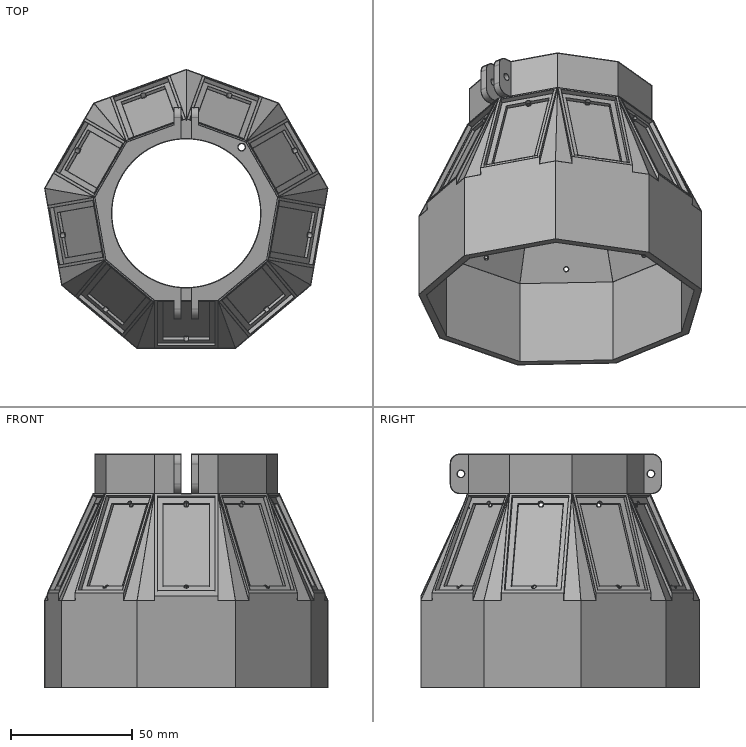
import cadquery as cq
import math

SIDES = 9
SECTOR = 360 / SIDES
OVERALL_WIDTH = 116.83
OVERALL_HEIGHT = 96.4
SKIRT_HEIGHT = 36.0
COLLAR_BASE = 80.1
COLLAR_RADIUS = 38.3
BORE_DIAMETER = 61.46

WALL = 3.0
CEILING_HEIGHT = 76.2

PANEL_TILT = math.radians(25)
PANEL_RISE = 0.6
LEDGE_DEPTH = 1.3
POCKET_DEPTH = 1.3
RIM = 1.2
RECESS_LENGTH = 42.9
LEDGE_SIDE = 2.4
LEDGE_END = 2.65
PANEL_HOLE_DIAMETER = 2.0
PANEL_HOLE_DEPTH = 10.0
PANEL_BACKING = 2.0

SLOT_WIDTH = 4.2
EAR_THICKNESS = 3.0
EAR_REACH = 43.6
EAR_CORNER_RADIUS = 4.0
EAR_HOLE_DIAMETER = 3.0
EAR_HOLE_REACH = 39.2

CORNER_HOLE_DIAMETER = 3.0
CORNER_HOLE_REACH = 35.6
CORNER_HOLE_ANGLE = 90 - SECTOR

HALF_SECTOR = math.radians(SECTOR / 2)
FLAT_RATIO = math.cos(HALF_SECTOR)
SKIRT_RADIUS = OVERALL_WIDTH / 2 / math.cos(HALF_SECTOR / 2)
SKIRT_FLAT = SKIRT_RADIUS * FLAT_RATIO
COLLAR_FLAT = COLLAR_RADIUS * FLAT_RATIO
SHOULDER_RUN = SKIRT_FLAT - COLLAR_FLAT
SHOULDER_HEIGHT = COLLAR_BASE - SKIRT_HEIGHT
SHOULDER_LENGTH = math.hypot(SHOULDER_RUN, SHOULDER_HEIGHT)
PANEL_WIDTH = 2 * COLLAR_RADIUS * math.sin(HALF_SECTOR)


def nonagon(radius, height):
    """Wire of a nonagon with one corner on +Y."""
    points = []
    for i in range(SIDES):
        angle = math.radians(90 + i * SECTOR)
        points.append(cq.Vector(radius * math.cos(angle), radius * math.sin(angle), height))
    return cq.Wire.makePolygon(points, close=True)


def prism(radius, bottom, top):
    face = cq.Face.makeFromWires(nonagon(radius, bottom))
    return cq.Workplane(obj=cq.Solid.extrudeLinear(face, cq.Vector(0, 0, top - bottom)))


def frustum(bottom_radius, bottom, top_radius, top):
    wires = [nonagon(bottom_radius, bottom), nonagon(top_radius, top)]
    return cq.Workplane(obj=cq.Solid.makeLoft(wires, ruled=True))


def panel_plane(rise):
    """Outer plane of a -Y panel: hinge plane moved out by the rise, local y up the slope."""
    hinge = cq.Plane(
        origin=(0, -COLLAR_FLAT, COLLAR_BASE),
        xDir=(1, 0, 0),
        normal=(0, -math.cos(PANEL_TILT), math.sin(PANEL_TILT)),
    )
    return cq.Plane(hinge.toWorldCoords((0, 0, rise)), hinge.xDir, hinge.zDir)


def around(front_tool, other_tool):
    """The front tool on the -Y side and a copy of the other tool on every other side."""
    tools = cq.Workplane(obj=front_tool.val())
    for i in range(1, SIDES):
        tools = tools.add(other_tool.rotate((0, 0, 0), (0, 0, 1), i * SECTOR).val())
    return tools.combine()


def panel(rise):
    """Raised plate, trimmed flush with the skirt side and the collar base."""
    plate = (
        cq.Workplane(panel_plane(rise))
        .rect(PANEL_WIDTH, 2 * SHOULDER_LENGTH)
        .extrude(-PANEL_BACKING)
    )
    return plate.intersect(prism(SKIRT_RADIUS, SKIRT_HEIGHT, COLLAR_BASE))


def panel_recess(rise):
    """Stepped window with a small hole at each end, sunk into a panel."""
    ledge = rise + LEDGE_DEPTH
    recess_width = PANEL_WIDTH - 2 * RIM
    pocket_length = RECESS_LENGTH - 2 * LEDGE_END
    centre = -RIM - RECESS_LENGTH / 2
    face = cq.Workplane(panel_plane(rise)).center(0, centre)
    recess = face.rect(recess_width, RECESS_LENGTH).extrude(-ledge)
    pocket = face.rect(recess_width - 2 * LEDGE_SIDE, pocket_length).extrude(-ledge - POCKET_DEPTH)
    holes = (
        face.pushPoints([(0, -pocket_length / 2), (0, pocket_length / 2)])
        .circle(PANEL_HOLE_DIAMETER / 2)
        .extrude(-PANEL_HOLE_DEPTH)
    )
    return recess.union(pocket).union(holes)


def hollow():
    """Inside of the skirt and shoulder, following the outer sides, up to a flat ceiling."""
    skirt_inside = (SKIRT_FLAT - WALL) / FLAT_RATIO
    ceiling_fraction = (CEILING_HEIGHT - SKIRT_HEIGHT) / SHOULDER_HEIGHT
    ceiling_flat = SKIRT_FLAT - WALL - ceiling_fraction * SHOULDER_RUN
    lower = prism(skirt_inside, 0, SKIRT_HEIGHT)
    upper = frustum(skirt_inside, SKIRT_HEIGHT, ceiling_flat / FLAT_RATIO, CEILING_HEIGHT)
    return lower.union(upper)


def ears():
    """Plates spanning the bore, rounded at their outer corners, either side of the slot."""
    height = OVERALL_HEIGHT - COLLAR_BASE
    offset = (SLOT_WIDTH + EAR_THICKNESS) / 2
    ear = (
        cq.Workplane()
        .box(EAR_THICKNESS, 2 * EAR_REACH, height)
        .edges("|X")
        .fillet(EAR_CORNER_RADIUS)
        .translate((0, 0, COLLAR_BASE + height / 2))
    )
    return ear.translate((offset, 0, 0)).union(ear.translate((-offset, 0, 0)))


def ear_holes():
    length = SLOT_WIDTH + 2 * EAR_THICKNESS
    return (
        cq.Workplane("YZ", origin=(0, 0, (COLLAR_BASE + OVERALL_HEIGHT) / 2))
        .pushPoints([(-EAR_HOLE_REACH, 0), (EAR_HOLE_REACH, 0)])
        .circle(EAR_HOLE_DIAMETER / 2)
        .extrude(length / 2, both=True)
    )


def clamp_slot():
    height = OVERALL_HEIGHT - COLLAR_BASE
    return (
        cq.Workplane()
        .box(SLOT_WIDTH, 2 * EAR_REACH, height)
        .translate((0, 0, COLLAR_BASE + height / 2))
    )


def bore():
    return cq.Workplane().circle(BORE_DIAMETER / 2).extrude(OVERALL_HEIGHT)


def corner_hole():
    angle = math.radians(CORNER_HOLE_ANGLE)
    return (
        cq.Workplane()
        .center(CORNER_HOLE_REACH * math.cos(angle), CORNER_HOLE_REACH * math.sin(angle))
        .circle(CORNER_HOLE_DIAMETER / 2)
        .extrude(OVERALL_HEIGHT)
    )


body = prism(SKIRT_RADIUS, 0, SKIRT_HEIGHT)
body = body.union(frustum(SKIRT_RADIUS, SKIRT_HEIGHT, COLLAR_RADIUS, COLLAR_BASE))
body = body.union(prism(COLLAR_RADIUS, COLLAR_BASE, OVERALL_HEIGHT))
body = body.union(around(panel(0), panel(PANEL_RISE))).union(ears())
body = body.cut(hollow()).cut(bore()).cut(clamp_slot())
body = body.cut(ear_holes()).cut(corner_hole())
body = body.cut(around(panel_recess(0), panel_recess(PANEL_RISE)))

result = body